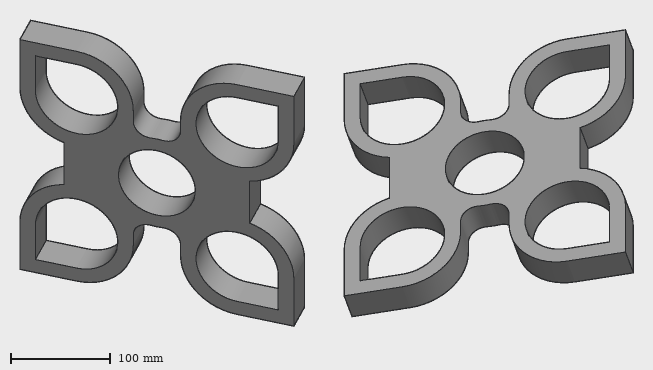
import cadquery as cq

SPAN = 290.0
THICKNESS = 33.7
PETAL_RADIUS = 60.0
PETAL_WALL = 16.5
CENTER_HOLE_RADIUS = 40.5
HUB_RADIUS = 55.5
BODY_HALF_WIDTH = 98.4
BODY_HALF_HEIGHT = 55.0
NOTCH_FILLET = 16.5

petal_center = SPAN / 2 - PETAL_RADIUS
notch_half_width = petal_center - PETAL_RADIUS
petal_signs = [(sx, sz) for sx in (-1, 1) for sz in (-1, 1)]


def prism(sketch):
    """Extrude an XZ outline through the plate thickness, centred on Y = 0."""
    return sketch.extrude(THICKNESS).translate((0, THICKNESS / 2, 0))


def teardrop(radius, sx, sz):
    """Round petal with one square corner pointing away from the plate centre."""
    cx = sx * petal_center
    cz = sz * petal_center
    disc = prism(cq.Workplane("XZ").center(cx, cz).circle(radius))
    corner = prism(
        cq.Workplane("XZ").center(cx + sx * radius / 2, cz + sz * radius / 2).rect(radius, radius)
    )
    return disc.union(corner)


body = prism(cq.Workplane("XZ").rect(2 * petal_center, 2 * petal_center))
side_body = prism(cq.Workplane("XZ").rect(2 * BODY_HALF_WIDTH, 2 * BODY_HALF_HEIGHT))
body = body.union(side_body)

notch_depth = petal_center - BODY_HALF_HEIGHT
for sz in (-1, 1):
    notch = prism(
        cq.Workplane("XZ")
        .center(0, sz * (BODY_HALF_HEIGHT + notch_depth / 2))
        .rect(2 * notch_half_width, notch_depth)
    )
    floor_edges = "<Z" if sz > 0 else ">Z"
    body = body.cut(notch.faces(floor_edges).edges("|Y").fillet(NOTCH_FILLET))

body = body.union(prism(cq.Workplane("XZ").circle(HUB_RADIUS)))

for sx, sz in petal_signs:
    body = body.union(teardrop(PETAL_RADIUS, sx, sz))
for sx, sz in petal_signs:
    body = body.cut(teardrop(PETAL_RADIUS - PETAL_WALL, sx, sz))

result = body.cut(prism(cq.Workplane("XZ").circle(CENTER_HOLE_RADIUS))).clean()